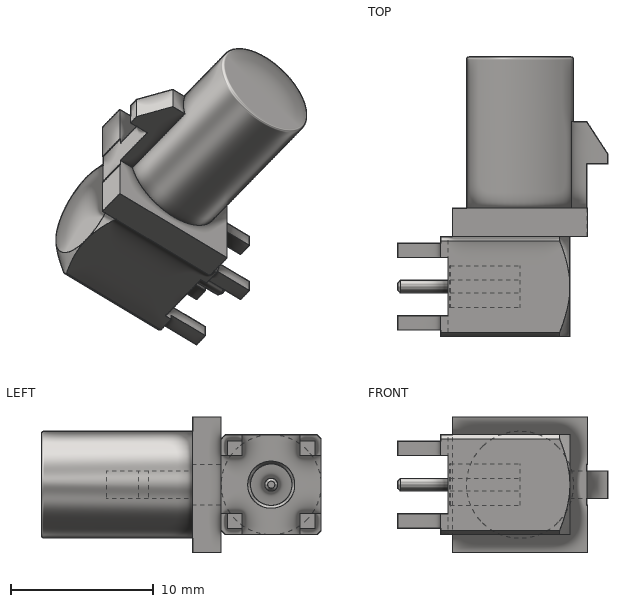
import cadquery as cq
import math


body_size = 7.0
body_half = body_size / 2
body_turned_radius = 4.75
body_back_x = body_half
standoff_face_x = -5.55
standoff_height = 0.5
body_board_face_x = standoff_face_x + standoff_height
leg_pitch = 5.08
leg_width = 1.02
leg_tip_x = -8.56
recess_width = leg_pitch - leg_width
crown_angle = 30.0

bore_radius = 1.45
countersink = 0.2
insulator_recess = 0.1
insulator_face_x = body_board_face_x + insulator_recess
insulator_end_x = 0.0

contact_radius = 0.45
contact_tip_chamfer = 0.2

flange_width = 9.46
flange_height = 9.5
flange_thickness = 2.0
flange_start_y = body_half
flange_end_y = flange_start_y + flange_thickness
barrel_radius = 3.75
barrel_end_y = 16.1
barrel_edge_fillet = 0.2
latch_width = 1.95
latch_face_x = 4.68
latch_tip_x = 6.15
latch_hook_y = 8.6
latch_nose_y = 9.3
latch_end_y = 11.55
latch_relief_width = 2.85


def x_prism(start_x, end_x, size_y, size_z):
    """Rectangular bar centred on the X axis."""
    return cq.Workplane("YZ", origin=(start_x, 0, 0)).rect(size_y, size_z).extrude(end_x - start_x)


def x_cylinder(start_x, end_x, radius):
    """Round bar on the X axis."""
    return cq.Workplane("YZ", origin=(start_x, 0, 0)).circle(radius).extrude(end_x - start_x)


def turned_envelope():
    """Round bar that rounds the long body edges, with a cone that bevels the back corners."""
    cone_drop = (body_turned_radius - body_half) * math.tan(math.radians(crown_angle))
    profile = [
        (standoff_face_x, 0),
        (body_back_x, 0),
        (body_back_x, body_half),
        (body_back_x - cone_drop, body_turned_radius),
        (standoff_face_x, body_turned_radius),
    ]
    return cq.Workplane("XY").polyline(profile).close().revolve(360, (0, 0, 0), (1, 0, 0))


def make_shell():
    body = x_prism(standoff_face_x, body_back_x, body_size, body_size)
    body = body.intersect(turned_envelope())

    for size_y, size_z in [(body_size, recess_width), (recess_width, body_size)]:
        body = body.cut(x_prism(standoff_face_x, body_board_face_x, size_y, size_z))

    legs = (
        cq.Workplane("YZ", origin=(leg_tip_x, 0, 0))
        .rarray(leg_pitch, leg_pitch, 2, 2)
        .rect(leg_width, leg_width)
        .extrude(standoff_face_x - leg_tip_x)
    )
    body = body.union(legs)

    bore = x_cylinder(body_board_face_x, insulator_end_x, bore_radius)
    countersink_cone = (
        cq.Workplane("YZ", origin=(body_board_face_x, 0, 0))
        .circle(bore_radius + countersink)
        .workplane(offset=countersink)
        .circle(bore_radius)
        .loft()
    )
    return body.cut(bore).cut(countersink_cone)


def make_contact():
    return x_cylinder(leg_tip_x, insulator_end_x, contact_radius).faces("<X").chamfer(contact_tip_chamfer)


def make_insulator():
    hole = x_cylinder(insulator_face_x, insulator_end_x, contact_radius)
    return x_cylinder(insulator_face_x, insulator_end_x, bore_radius).cut(hole)


def make_latch():
    """Latch arm along the barrel with a sloped hook, rooted on the barrel axis plane."""
    outline = [
        (0, flange_end_y),
        (latch_face_x, flange_end_y),
        (latch_face_x, latch_hook_y),
        (latch_tip_x, latch_hook_y),
        (latch_tip_x, latch_nose_y),
        (latch_face_x, latch_end_y),
        (0, latch_end_y),
    ]
    return cq.Workplane("XY").polyline(outline).close().extrude(latch_width / 2, both=True)


def make_housing():
    flange = cq.Workplane("XY").box(flange_width, flange_thickness, flange_height)
    flange = flange.translate((0, flange_start_y + flange_thickness / 2, 0))

    relief_depth = flange_width / 2 - latch_face_x
    relief = cq.Workplane("XY").box(relief_depth, flange_thickness, latch_relief_width)
    relief = relief.translate((latch_face_x + relief_depth / 2, flange_start_y + flange_thickness / 2, 0))

    barrel = cq.Workplane("XZ", origin=(0, flange_end_y, 0)).circle(barrel_radius)
    barrel = barrel.extrude(flange_end_y - barrel_end_y)
    barrel = barrel.faces(">Y").edges().fillet(barrel_edge_fillet)
    return flange.cut(relief).union(barrel).union(make_latch())


shell = make_shell()
insulator = make_insulator()
contact = make_contact()
housing = make_housing()

result = cq.Compound.makeCompound([shell.val(), insulator.val(), contact.val(), housing.val()])